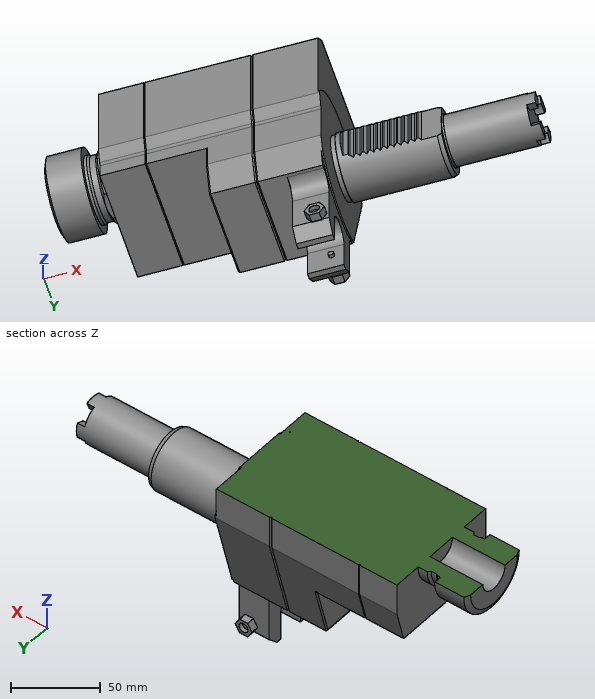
import cadquery as cq
import math

OVERALL_LENGTH = 283.3

HOUSING_START = 37.0
HOUSING_END = 165.0
FRONT_JOINT = 63.5
STEP_X = 99.0
REAR_JOINT = 126.4
JOINT_CHAMFER = 0.8
HALF_WIDTH = 40.0
HOUSING_TOP = 82.0
STEP_BOTTOM = -2.8
HOUSING_BOTTOM = -40.0
TOP_CHAMFER_WIDTH = 7.0
TOP_CHAMFER_HEIGHT = 7.6
TAPER_START = 19.8
NARROW_SIDE = 37.0
NARROW_TOP = 8.5
NARROW_BOTTOM = -18.7
NARROW_BLEND = 11.3
FOOT_FRONT = 31.2
FOOT_BACK = 24.0

DISC_RADIUS = 45.3
DISC_THICKNESS = 0.8

ARM_LENGTH = 21.2
ARM_HALF_WIDTH = 19.3
ARM_BOTTOM = -82.2
ARM_CHAMFER = 7.0
ARM_FRONT_FILLET = 10.0
FORK_HALF_WIDTH = 8.8
FORK_TOP = -53.3

SCREW_X = 157.8
SCREW_Z = -70.5
SCREW_HEAD_FLATS = 10.2
SCREW_HEAD_HEIGHT = 5.0
SCREW_SOCKET_RADIUS = 3.0
SCREW_SOCKET_DEPTH = 2.8
SCREW_TIP_RADIUS = 1.7
SCREW_TIP_LENGTH = 2.0

SPINDLE_Z = 41.6
NUT_RADIUS = 25.0
NUT_FACE_RADIUS = 21.0
NUT_CHAMFER_LENGTH = 1.7
NUT_LENGTH = 22.5
SHOULDER_RADIUS = 20.0
SHOULDER_END = 24.0
NECK_RADIUS = 19.3
NECK_START = 25.5
COLLAR_START = 29.2
COLLAR_CONE_END = 30.5
COLLAR_RADIUS = 21.0
COLLAR_FLAT = 19.3
SPINDLE_BORE_RADIUS = 10.0

SHANK_RADIUS = 20.0
SHANK_RELIEF_RADIUS = 19.3
SHANK_START = 168.5
SHANK_CHAMFER_START = 226.5
SHANK_END = 229.0
FLAT_START = 172.0
FLAT_WALL_RUN = 0.5
FIRST_LAND_END = 175.0
FIRST_LAND_DEPTH = 16.1
SERRATION_TIP = 15.5
SERRATION_ROOT = 14.5
SERRATION_PITCH = 4.0
SERRATION_COUNT = 11
SERRATION_LAND = 0.8

SHAFT_RADIUS = 15.0
SHAFT_RING_RADIUS = 15.5
SHAFT_RING_END = 230.0
COUPLING_BORE_RADIUS = 9.3
COUPLING_LENGTH = 5.0
COUPLING_TOOTH_COUNT = 4
COUPLING_TOOTH_ANGLE = 42


def extrude_along_x(outline, start, end):
    """Extrude an outline drawn in Y-Z coordinates between two X stations."""
    return outline.extrude(end - start).translate((start, 0, 0))


def revolve_about_x(points, axis_z=0.0):
    """Revolve (x, radius) points about an axis parallel to X."""
    turned = cq.Workplane("XZ").polyline(points).close().revolve(360, (0, 0, 0), (1, 0, 0))
    return turned.translate((0, 0, axis_z))


def housing_section(start, end, bottom):
    """Full housing outline between two X stations, cut off below the given height."""
    points = [
        (HALF_WIDTH - TOP_CHAMFER_WIDTH, HOUSING_TOP),
        (HALF_WIDTH, HOUSING_TOP - TOP_CHAMFER_HEIGHT),
        (HALF_WIDTH, TAPER_START),
        (FOOT_BACK, HOUSING_BOTTOM),
        (-FOOT_FRONT, HOUSING_BOTTOM),
        (-NARROW_SIDE, NARROW_BOTTOM),
        (-NARROW_SIDE, NARROW_TOP),
        (-HALF_WIDTH, TAPER_START),
        (-HALF_WIDTH, HOUSING_TOP - TOP_CHAMFER_HEIGHT),
        (TOP_CHAMFER_WIDTH - HALF_WIDTH, HOUSING_TOP),
    ]
    section = extrude_along_x(cq.Workplane("YZ").polyline(points).close(), start, end)
    margin = 0.3
    blend_edge = cq.selectors.BoxSelector(
        (start - margin, -NARROW_SIDE - margin, NARROW_TOP - margin),
        (end + margin, -NARROW_SIDE + margin, NARROW_TOP + margin),
    )
    section = section.edges(blend_edge).fillet(NARROW_BLEND)
    height = HOUSING_TOP - bottom
    keep = cq.Workplane("XY").box(end - start, 2 * HALF_WIDTH, height, centered=(False, True, False))
    return section.intersect(keep.translate((start, 0, bottom)))


def make_housing():
    """Stepped housing with chamfered grooves where its three sections meet."""
    front = housing_section(HOUSING_START, FRONT_JOINT, STEP_BOTTOM)
    upper = housing_section(FRONT_JOINT, REAR_JOINT, STEP_BOTTOM)
    upper = upper.faces("<X").chamfer(JOINT_CHAMFER)
    lower = housing_section(STEP_X, REAR_JOINT, HOUSING_BOTTOM)
    lower = lower.faces("<X").chamfer(JOINT_CHAMFER)
    middle = upper.union(lower).faces(">X").chamfer(JOINT_CHAMFER)
    rear = housing_section(REAR_JOINT, HOUSING_END, HOUSING_BOTTOM)
    rear = rear.faces("<X").chamfer(JOINT_CHAMFER)
    return front.union(middle).union(rear)


def arm_outline():
    """Forked arm seen along X, with a different fillet on each side of its root."""
    back_fillet = FOOT_BACK - ARM_HALF_WIDTH
    diagonal = math.sqrt(0.5)
    front_edge = -ARM_HALF_WIDTH - ARM_FRONT_FILLET
    outline = cq.Workplane("YZ").moveTo(FOOT_BACK, HOUSING_BOTTOM)
    outline = outline.threePointArc(
        (FOOT_BACK - back_fillet * diagonal, HOUSING_BOTTOM - back_fillet * (1 - diagonal)),
        (ARM_HALF_WIDTH, HOUSING_BOTTOM - back_fillet),
    )
    outline = (
        outline.lineTo(ARM_HALF_WIDTH, ARM_BOTTOM + ARM_CHAMFER)
        .lineTo(ARM_HALF_WIDTH - ARM_CHAMFER, ARM_BOTTOM)
        .lineTo(FORK_HALF_WIDTH, ARM_BOTTOM)
        .lineTo(FORK_HALF_WIDTH, FORK_TOP - FORK_HALF_WIDTH)
        .threePointArc((0, FORK_TOP), (-FORK_HALF_WIDTH, FORK_TOP - FORK_HALF_WIDTH))
        .lineTo(-FORK_HALF_WIDTH, ARM_BOTTOM)
        .lineTo(ARM_CHAMFER - ARM_HALF_WIDTH, ARM_BOTTOM)
        .lineTo(-ARM_HALF_WIDTH, ARM_BOTTOM + ARM_CHAMFER)
        .lineTo(-ARM_HALF_WIDTH, HOUSING_BOTTOM - ARM_FRONT_FILLET)
    )
    outline = outline.threePointArc(
        (front_edge + ARM_FRONT_FILLET * diagonal, HOUSING_BOTTOM - ARM_FRONT_FILLET * (1 - diagonal)),
        (front_edge, HOUSING_BOTTOM),
    )
    return outline.close()


def make_disc():
    """Rear disc, trimmed to the silhouette of the housing and arm."""
    disc_end = HOUSING_END + DISC_THICKNESS
    silhouette = housing_section(HOUSING_END, disc_end, HOUSING_BOTTOM)
    silhouette = silhouette.union(extrude_along_x(arm_outline(), HOUSING_END, disc_end))
    disc = extrude_along_x(cq.Workplane("YZ").circle(DISC_RADIUS), HOUSING_END, disc_end)
    return disc.intersect(silhouette)


def make_screw():
    """Screw in the -Y tine: hexagon head outside, tip inside the fork."""
    across_corners = SCREW_HEAD_FLATS / math.cos(math.pi / 6)
    head_face = ARM_HALF_WIDTH + SCREW_HEAD_HEIGHT
    tip_face = FORK_HALF_WIDTH - SCREW_TIP_LENGTH
    plane = cq.Workplane("XZ", origin=(SCREW_X, 0, SCREW_Z))
    head = plane.workplane(offset=ARM_HALF_WIDTH).polygon(6, across_corners).extrude(SCREW_HEAD_HEIGHT)
    socket = plane.workplane(offset=head_face).circle(SCREW_SOCKET_RADIUS).extrude(-SCREW_SOCKET_DEPTH)
    tip = plane.workplane(offset=tip_face).circle(SCREW_TIP_RADIUS).extrude(ARM_HALF_WIDTH - tip_face)
    return head.cut(socket).union(tip)


def make_spindle():
    body = revolve_about_x(
        [
            (0, 0),
            (0, NUT_FACE_RADIUS),
            (NUT_CHAMFER_LENGTH, NUT_RADIUS),
            (NUT_LENGTH, NUT_RADIUS),
            (NUT_LENGTH, SHOULDER_RADIUS),
            (SHOULDER_END, SHOULDER_RADIUS),
            (NECK_START, NECK_RADIUS),
            (COLLAR_START, NECK_RADIUS),
            (COLLAR_START, 0),
        ],
        SPINDLE_Z,
    )
    collar = revolve_about_x(
        [
            (COLLAR_START, 0),
            (COLLAR_START, NECK_RADIUS),
            (COLLAR_CONE_END, COLLAR_RADIUS),
            (HOUSING_START, COLLAR_RADIUS),
            (HOUSING_START, 0),
        ]
    )
    flats = extrude_along_x(
        cq.Workplane("YZ").rect(2 * COLLAR_RADIUS, 2 * COLLAR_FLAT), COLLAR_START, HOUSING_START
    )
    return body.union(collar.intersect(flats).translate((0, 0, SPINDLE_Z)))


def make_spindle_bore():
    bore = cq.Workplane("YZ").circle(SPINDLE_BORE_RADIUS)
    return extrude_along_x(bore, 0, HOUSING_START).translate((0, 0, SPINDLE_Z))


def make_serration_cut():
    """Space removed from the -Y side of the shank, leaving a toothed flat."""
    outside = -SHANK_RADIUS - 2.8
    wall_slope = FLAT_WALL_RUN / (SHANK_RADIUS - FIRST_LAND_DEPTH)
    wall_run = wall_slope * (-outside - FIRST_LAND_DEPTH)
    points = [
        (FLAT_START - wall_run, outside),
        (FLAT_START, -FIRST_LAND_DEPTH),
        (FIRST_LAND_END, -FIRST_LAND_DEPTH),
        (FIRST_LAND_END, -SERRATION_TIP),
    ]
    for index in range(SERRATION_COUNT):
        land_start = FIRST_LAND_END + index * SERRATION_PITCH
        land_end = land_start + SERRATION_LAND
        root = (land_end + land_start + SERRATION_PITCH) / 2
        if index > 0:
            points.append((land_start, -SERRATION_TIP))
        points += [(land_end, -SERRATION_TIP), (root, -SERRATION_ROOT)]
    points += [(SHANK_END, -SERRATION_ROOT), (SHANK_END, outside)]
    return cq.Workplane("XY").polyline(points).close().extrude(SHANK_RADIUS, both=True)


def make_shank():
    shank = revolve_about_x(
        [
            (HOUSING_END, 0),
            (HOUSING_END, SHANK_RELIEF_RADIUS),
            (SHANK_START, SHANK_RELIEF_RADIUS),
            (SHANK_START, SHANK_RADIUS),
            (SHANK_CHAMFER_START, SHANK_RADIUS),
            (SHANK_END, SHANK_RELIEF_RADIUS),
            (SHANK_END, 0),
        ]
    )
    return shank.cut(make_serration_cut())


def make_drive_shaft():
    ring = extrude_along_x(cq.Workplane("YZ").circle(SHAFT_RING_RADIUS), SHANK_END, SHAFT_RING_END)
    shaft = extrude_along_x(cq.Workplane("YZ").circle(SHAFT_RADIUS), SHANK_END, OVERALL_LENGTH)
    shaft = shaft.union(ring)
    coupling_start = OVERALL_LENGTH - COUPLING_LENGTH
    bore = cq.Workplane("YZ").circle(COUPLING_BORE_RADIUS)
    shaft = shaft.cut(extrude_along_x(bore, coupling_start, OVERALL_LENGTH))

    pitch_angle = 360 / COUPLING_TOOTH_COUNT
    half_gap = math.radians((pitch_angle - COUPLING_TOOTH_ANGLE) / 2)
    reach = 2 * SHAFT_RADIUS
    far_y = reach * math.cos(half_gap)
    far_z = reach * math.sin(half_gap)
    wedge_outline = cq.Workplane("YZ").polyline([(0, 0), (far_y, -far_z), (far_y, far_z)]).close()
    wedge = extrude_along_x(wedge_outline, coupling_start, OVERALL_LENGTH)
    for index in range(COUPLING_TOOTH_COUNT):
        angle = (index + 0.5) * pitch_angle
        shaft = shaft.cut(wedge.rotate((0, 0, 0), (1, 0, 0), angle))
    return shaft


arm = extrude_along_x(arm_outline(), HOUSING_END - ARM_LENGTH, HOUSING_END)
screw = make_screw()

result = make_housing().union(arm).union(make_disc())
result = result.union(screw).union(screw.mirror("XZ"))
result = result.union(make_spindle()).cut(make_spindle_bore())
result = result.union(make_shank()).union(make_drive_shaft())